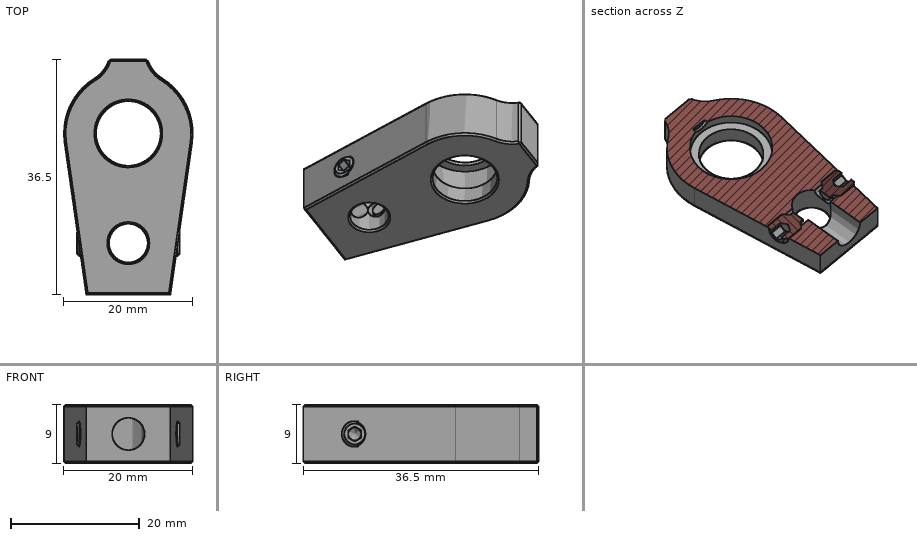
import cadquery as cq
import math

thickness = 9.0
head_radius = 10.0
head_to_back = 11.5
head_to_front = 25.0
front_width = 13.05
edge_chamfer = 0.3

nose_width = 6.0
nose_arc_radius = 5.1
nose_corner_chamfer = 0.33

big_bore_diameter = 10.0
chamber_diameter = 12.7
chamber_top_depth = 1.0
chamber_floor_depth = 6.0

nose_hole_diameter = 3.3
nose_hole_end = 6.83

small_bore_diameter = 6.0
bore_spacing = 17.0
front_hole_diameter = 5.0

screw_diameter = 4.0
screw_end_offset = 8.0
screw_length = screw_end_offset - small_bore_diameter / 2
screw_chamfer = 0.4
tip_diameter = 2.2
tip_length = 1.5
tip_taper = 0.8
socket_across_flats = 2.0
socket_depth = 2.0
socket_cone_height = 0.6
tap_hole_diameter = 3.3

screw_sides = (-1, 1)
top_z = thickness / 2
chamber_middle_z = top_z - (chamber_top_depth + chamber_floor_depth) / 2
small_bore_y = -bore_spacing


def nose_arc():
    """Start, middle and end of the +X hollow arc, tangent to the round head."""
    reach = head_radius + nose_arc_radius
    corner = (nose_width / 2, head_to_back)
    corner_distance = math.hypot(*corner)
    corner_angle = math.atan2(corner[1], corner[0])
    turn = math.acos((reach**2 + corner_distance**2 - nose_arc_radius**2) / (2 * reach * corner_distance))
    center_angle = corner_angle - turn
    center = (reach * math.cos(center_angle), reach * math.sin(center_angle))
    start = (head_radius * math.cos(center_angle), head_radius * math.sin(center_angle))
    chord_middle = ((start[0] + corner[0]) / 2, (start[1] + corner[1]) / 2)
    outward = (chord_middle[0] - center[0], chord_middle[1] - center[1])
    stretch = nose_arc_radius / math.hypot(*outward)
    middle = (center[0] + outward[0] * stretch, center[1] + outward[1] * stretch)
    return start, middle, corner


def side_tangent_point():
    """Point where the straight +X side leaves the round head."""
    half_width = front_width / 2
    corner_distance = math.hypot(half_width, head_to_front)
    corner_angle = math.atan2(-head_to_front, half_width)
    angle = corner_angle + math.acos(head_radius / corner_distance)
    return head_radius * math.cos(angle), head_radius * math.sin(angle)


def mirrored(point):
    return -point[0], point[1]


def plate_blank():
    front_corner = (front_width / 2, -head_to_front)
    tangent = side_tangent_point()
    arc_start, arc_middle, nose_corner = nose_arc()
    head_side = (head_radius, 0)
    outline = (
        cq.Workplane("XY")
        .workplane(offset=-top_z)
        .moveTo(*mirrored(front_corner))
        .lineTo(*front_corner)
        .lineTo(*tangent)
        .threePointArc(head_side, arc_start)
        .threePointArc(arc_middle, nose_corner)
        .lineTo(*mirrored(nose_corner))
        .threePointArc(mirrored(arc_middle), mirrored(arc_start))
        .threePointArc(mirrored(head_side), mirrored(tangent))
        .close()
    )
    return outline.extrude(thickness)


def upright_cylinder(diameter, y, bottom_z, height):
    return cq.Workplane("XY").workplane(offset=bottom_z).center(0, y).circle(diameter / 2).extrude(height)


def cylinder_along_y(diameter, start_y, z, length):
    return cq.Workplane("XZ", origin=(0, start_y, z)).circle(diameter / 2).extrude(-length)


def make_housing():
    body = plate_blank()
    body = body.cut(upright_cylinder(big_bore_diameter, 0, -top_z, thickness))
    body = body.cut(upright_cylinder(small_bore_diameter, small_bore_y, -top_z, thickness))
    body = body.faces("<Z or >Z").edges().chamfer(edge_chamfer)
    body = body.faces(">Y").edges("|Z").chamfer(nose_corner_chamfer)

    chamber_height = chamber_floor_depth - chamber_top_depth
    body = body.cut(upright_cylinder(chamber_diameter, 0, top_z - chamber_floor_depth, chamber_height))
    body = body.cut(cylinder_along_y(nose_hole_diameter, 0, chamber_middle_z, nose_hole_end))

    front_hole_length = head_to_front - bore_spacing
    body = body.cut(cylinder_along_y(front_hole_diameter, -head_to_front, 0, front_hole_length))

    screw_hole = (
        cq.Workplane("YZ", origin=(-head_radius, small_bore_y, 0))
        .circle(tap_hole_diameter / 2)
        .extrude(2 * head_radius)
    )
    body = body.cut(screw_hole)
    for side in screw_sides:
        body = body.cut(screw_blank(side))
    return body


def place_screw(screw, side):
    """Turn a +Z screw to face +X for side 1 or -X for side -1, and move it into the plate."""
    return screw.rotate((0, 0, 0), (0, 1, 0), 90 * side).translate((side * screw_end_offset, small_bore_y, 0))


def screw_blank(side):
    """Outer shape of a set screw, without its socket."""
    radius = screw_diameter / 2
    tip_radius = tip_diameter / 2
    half_profile = (
        cq.Workplane("XZ")
        .moveTo(0, 0)
        .lineTo(radius - screw_chamfer, 0)
        .lineTo(radius, -screw_chamfer)
        .lineTo(radius, tip_length - screw_length)
        .lineTo(tip_radius, tip_length - tip_taper - screw_length)
        .lineTo(tip_radius, -screw_length)
        .lineTo(0, -screw_length)
        .close()
    )
    return place_screw(half_profile.revolve(360, (0, 0), (0, 1)), side)


def make_set_screw(side):
    socket_diameter = socket_across_flats / math.cos(math.pi / 6)
    socket = cq.Workplane("XY").polygon(6, socket_diameter).extrude(-socket_depth)
    socket_end = cq.Workplane(
        cq.Solid.makeCone(
            socket_across_flats / 2,
            0,
            socket_cone_height,
            pnt=cq.Vector(0, 0, -socket_depth),
            dir=cq.Vector(0, 0, -1),
        )
    )
    return screw_blank(side).cut(place_screw(socket.union(socket_end), side))


housing = make_housing()
set_screws = [make_set_screw(side) for side in screw_sides]

result = cq.Compound.makeCompound([housing.val(), *[screw.val() for screw in set_screws]])